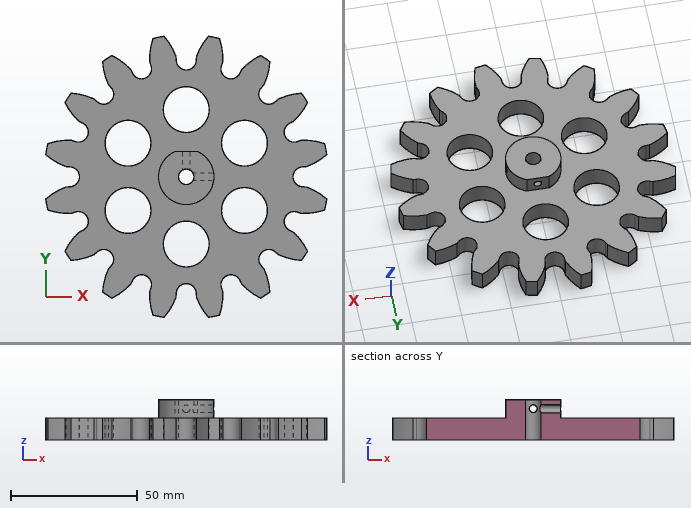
import cadquery as cq
import math

tooth_count = 16
overall_width = 111.1
gear_thickness = 8.8
tooth_pitch = 360 / tooth_count

root_radius = 42.2
gap_floor_radius = 3.9
fillet_end = (gap_floor_radius, root_radius + gap_floor_radius)
flank_start = (4.0, 47.5)
flank_middle = (5.9, 51.5)
flank_end = (8.8, overall_width / 2)
tip_radius = math.hypot(*flank_end)

lightening_hole_count = 6
lightening_hole_diameter = 18.0
lightening_circle_radius = 26.5

hub_diameter = 21.9
hub_height = 7.2
hub_flat_distance = 10.0
bore_diameter = 6.0
screw_hole_diameter = 3.0
total_height = gear_thickness + hub_height
screw_height = gear_thickness + hub_height / 2


def turned(point, angle):
    """Rotate a point about the gear axis by an angle in degrees."""
    a = math.radians(angle)
    x, y = point
    return (x * math.cos(a) - y * math.sin(a), x * math.sin(a) + y * math.cos(a))


def mirrored(point):
    """Mirror a point across the Y axis."""
    return (-point[0], point[1])


def gear_blank():
    """Teeth and web; a gap is centred on each axis."""
    tip_middle = turned((0, tip_radius), -tooth_pitch / 2)
    outline = cq.Workplane("XY").moveTo(*mirrored(flank_end))
    for index in range(tooth_count):
        def place(point):
            return turned(point, -index * tooth_pitch)

        outline = (
            outline
            .threePointArc(place(mirrored(flank_middle)), place(mirrored(flank_start)))
            .lineTo(*place(mirrored(fillet_end)))
            .threePointArc(place((0, root_radius)), place(fillet_end))
            .lineTo(*place(flank_start))
            .threePointArc(place(flank_middle), place(flank_end))
            .threePointArc(place(tip_middle), place(turned(mirrored(flank_end), -tooth_pitch)))
        )
    return outline.close().extrude(gear_thickness)


def hub():
    """Round hub with a flat on its +Y side."""
    body = cq.Workplane("XY").circle(hub_diameter / 2).extrude(total_height)
    keep = (
        cq.Workplane("XY")
        .center(0, hub_flat_distance - hub_diameter / 2)
        .rect(hub_diameter, hub_diameter)
        .extrude(total_height)
    )
    return body.intersect(keep)


def lightening_holes():
    return (
        cq.Workplane("XY")
        .polarArray(lightening_circle_radius, 90, 360, lightening_hole_count)
        .circle(lightening_hole_diameter / 2)
        .extrude(gear_thickness)
    )


def shaft_bore():
    return cq.Workplane("XY").circle(bore_diameter / 2).extrude(total_height)


def screw_holes():
    """Set screw holes from the bore out through the +X and +Y sides of the hub."""
    hole_axis_start = (0, 0, screw_height)
    toward_x = (
        cq.Workplane("YZ", origin=hole_axis_start)
        .circle(screw_hole_diameter / 2)
        .extrude(hub_diameter)
    )
    toward_y = toward_x.rotate((0, 0, 0), (0, 0, 1), 90)
    return toward_x.union(toward_y)


result = (
    gear_blank()
    .union(hub())
    .cut(lightening_holes())
    .cut(shaft_bore())
    .cut(screw_holes())
)